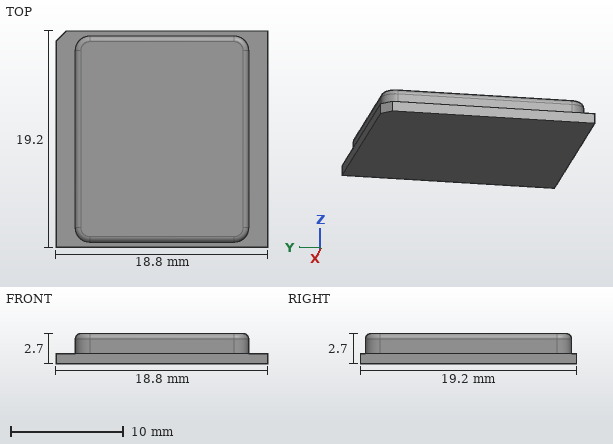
import cadquery as cq

board_width = 18.8
board_length = 19.2
board_thickness = 0.9
pin_one_chamfer = 0.9

total_height = 2.7
lid_width = 15.4
lid_length = 18.3
lid_height = total_height - board_thickness
lid_corner_radius = 1.3
lid_top_fillet = 0.5


def make_board():
    """Rectangular board with one corner (-X, +Y) cut off to mark pin one."""
    return (
        cq.Workplane("XY")
        .box(board_width, board_length, board_thickness, centered=(True, True, False))
        .edges("|Z and <X and >Y")
        .chamfer(pin_one_chamfer)
    )


def make_lid():
    """Lid with rounded vertical corners and a rounded top rim."""
    return (
        cq.Workplane("XY")
        .workplane(offset=board_thickness)
        .box(lid_width, lid_length, lid_height, centered=(True, True, False))
        .edges("|Z")
        .fillet(lid_corner_radius)
        .faces(">Z")
        .edges()
        .fillet(lid_top_fillet)
    )


board = make_board()
lid = make_lid()

result = cq.Compound.makeCompound([board.val(), lid.val()])